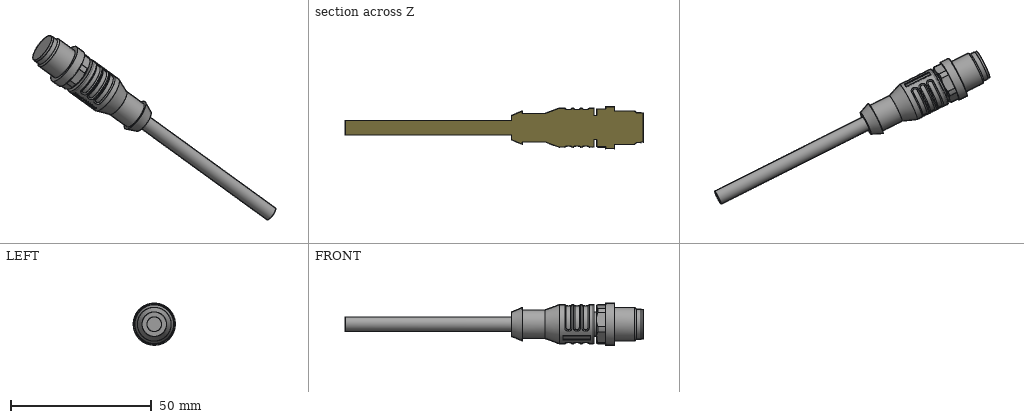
import cadquery as cq


COLLAR_START = 59.1
COLLAR_END = 63.0
TAPER_START = 71.0
BODY_START = 76.1
BODY_RIM_START = 87.9
BODY_END = 88.5
NUT_START = 89.4
FLANGE_START = 92.6
FLANGE_END = 95.8
TIP_START = 103.5
TOTAL_LENGTH = 106.0

CABLE_DIA = 5.2
COLLAR_SMALL_DIA = 8.7
COLLAR_DIA = 12.0
SLEEVE_DIA = 10.2
BODY_DIA = 14.0
BODY_RIM_DIA = 13.8
NECK_DIA = 8.7
NUT_DIA = 14.0
FLANGE_DIA = 15.0
BARREL_DIA = 12.0
TIP_DIA = 10.8
TIP_LIP_DIA = 10.5

BARREL_CHAMFER = 0.6
TIP_LIP_LENGTH = 0.8
NUT_CHAMFER = 0.4

GRIP_SLOT_COUNT = 3
GRIP_PITCH = 3.05
GRIP_CENTER_X = 82.4
GRIP_TOP_WIDTH = 2.6
GRIP_FLOOR_WIDTH = 1.6
GRIP_DEPTH = 0.45
GRIP_SPAN = 112.0
GRIP_ANGLES = (45.0, 225.0)

LABEL_START = 77.4
LABEL_LENGTH = 9.8
LABEL_WIDTH = 1.9
LABEL_FLOOR_RADIUS = 6.5
LABEL_ANGLES = (135.0, 315.0)

FLAT_COUNT = 6
FLAT_ACROSS = 13.0
FLAT_TILT = 15.0

CUT_MARGIN = 0.3


def make_turned_body():
    """Revolve the stepped outline about the X axis."""
    steps = [
        (0, CABLE_DIA),
        (COLLAR_START, CABLE_DIA),
        (COLLAR_START, COLLAR_SMALL_DIA),
        (COLLAR_END, COLLAR_DIA),
        (COLLAR_END, SLEEVE_DIA),
        (TAPER_START, SLEEVE_DIA),
        (BODY_START, BODY_DIA),
        (BODY_RIM_START, BODY_DIA),
        (BODY_END, BODY_RIM_DIA),
        (BODY_END, NECK_DIA),
        (NUT_START, NECK_DIA),
        (NUT_START, NUT_DIA - 2 * NUT_CHAMFER),
        (NUT_START + NUT_CHAMFER, NUT_DIA),
        (FLANGE_START, NUT_DIA),
        (FLANGE_START, FLANGE_DIA),
        (FLANGE_END, FLANGE_DIA),
        (FLANGE_END, BARREL_DIA),
        (TIP_START - BARREL_CHAMFER, BARREL_DIA),
        (TIP_START, TIP_DIA),
        (TOTAL_LENGTH - TIP_LIP_LENGTH, TIP_DIA),
        (TOTAL_LENGTH - TIP_LIP_LENGTH, TIP_LIP_DIA),
        (TOTAL_LENGTH, TIP_LIP_DIA),
    ]
    outline = [(0, 0)] + [(x, dia / 2) for x, dia in steps] + [(TOTAL_LENGTH, 0)]
    return cq.Workplane("XY").polyline(outline).close().revolve(360, (0, 0), (1, 0))


def turn(shape, angle):
    """Turn a shape about the part axis; 0 degrees is -Y and 90 degrees is +Z."""
    return shape.rotate((0, 0, 0), (1, 0, 0), -angle)


def make_grip_slot(center_x):
    """Slot wrapped around the axis, with sloped walls and round ends, starting at -Y."""
    floor_radius = BODY_DIA / 2 - GRIP_DEPTH
    inner_radius = floor_radius - CUT_MARGIN
    outer_radius = BODY_DIA / 2 + CUT_MARGIN
    wall_slope = (GRIP_TOP_WIDTH - GRIP_FLOOR_WIDTH) / 2 / GRIP_DEPTH
    inner_half = GRIP_FLOOR_WIDTH / 2 - wall_slope * CUT_MARGIN
    outer_half = GRIP_TOP_WIDTH / 2 + wall_slope * CUT_MARGIN

    section = [
        (center_x - inner_half, -inner_radius),
        (center_x + inner_half, -inner_radius),
        (center_x + outer_half, -outer_radius),
        (center_x - outer_half, -outer_radius),
    ]
    band = cq.Workplane("XY").polyline(section).close().revolve(GRIP_SPAN, (0, 0), (-1, 0))

    half_section = [
        (center_x, -inner_radius),
        (center_x + inner_half, -inner_radius),
        (center_x + outer_half, -outer_radius),
        (center_x, -outer_radius),
    ]
    end = cq.Workplane("XY").polyline(half_section).close().revolve(360, (center_x, 0), (center_x, 1))
    slot = band.union(end).union(turn(end, GRIP_SPAN))

    core_start = cq.Workplane("YZ").workplane(offset=center_x - GRIP_TOP_WIDTH)
    core = core_start.circle(floor_radius).extrude(2 * GRIP_TOP_WIDTH)
    return slot.cut(core)


def cut_grips(part):
    for index in range(GRIP_SLOT_COUNT):
        offset = index - (GRIP_SLOT_COUNT - 1) / 2
        slot = make_grip_slot(GRIP_CENTER_X + offset * GRIP_PITCH)
        for angle in GRIP_ANGLES:
            part = part.cut(turn(slot, angle - GRIP_SPAN / 2))
    return part


def cut_labels(part):
    height = BODY_DIA / 2 + CUT_MARGIN - LABEL_FLOOR_RADIUS
    recess = cq.Workplane("XY").box(LABEL_LENGTH, height, LABEL_WIDTH, centered=(False, False, True))
    recess = recess.translate((LABEL_START, -LABEL_FLOOR_RADIUS - height, 0))
    for angle in LABEL_ANGLES:
        part = part.cut(turn(recess, angle))
    return part


def cut_wrench_flats(part):
    flat_radius = FLAT_ACROSS / 2
    height = NUT_DIA / 2 + CUT_MARGIN - flat_radius
    length = FLANGE_START - NUT_START
    cutter = cq.Workplane("XY").box(length, height, NUT_DIA, centered=(False, False, True))
    cutter = cutter.translate((NUT_START, -flat_radius - height, 0))
    for index in range(FLAT_COUNT):
        part = part.cut(turn(cutter, FLAT_TILT + index * 360 / FLAT_COUNT))
    return part


result = cut_wrench_flats(cut_labels(cut_grips(make_turned_body())))